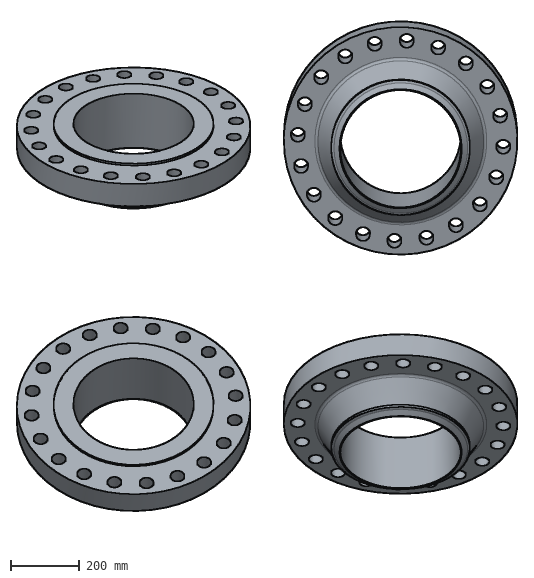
import cadquery as cq

flange_diameter = 686.0
flange_thickness = 76.0

face_diameter = 470.0
face_height = 7.0

bolt_count = 20
bolt_circle_diameter = 603.5
bolt_hole_diameter = 41.0

bore_diameter = 353.0
total_height = 184.5
neck_top_diameter = 492.5
root_radius = 10.0
neck_end_diameter = 407.5
collar_height = 8.0
shoulder_diameter = 392.0
shoulder_height = 3.0
bevel_height = 12.5
tip_diameter = 359.5

flange_top = total_height - face_height
flange_bottom = flange_top - flange_thickness
collar_bottom = bevel_height + shoulder_height
collar_top = collar_bottom + collar_height


def revolved_body():
    """Plate, raised face and weld neck as one profile turned about Z."""
    return (
        cq.Workplane("XZ")
        .moveTo(bore_diameter / 2, 0)
        .lineTo(tip_diameter / 2, 0)
        .lineTo(shoulder_diameter / 2, bevel_height)
        .lineTo(neck_end_diameter / 2, collar_bottom)
        .lineTo(neck_end_diameter / 2, collar_top)
        .lineTo(neck_top_diameter / 2, flange_bottom)
        .lineTo(flange_diameter / 2, flange_bottom)
        .lineTo(flange_diameter / 2, flange_top)
        .lineTo(face_diameter / 2, flange_top)
        .lineTo(face_diameter / 2, total_height)
        .lineTo(bore_diameter / 2, total_height)
        .close()
        .revolve(360, (0, 0, 0), (0, 1, 0))
    )


def bolt_holes():
    """Through holes evenly spaced on the bolt circle, one of them on +X."""
    return (
        cq.Workplane("XY")
        .workplane(offset=flange_bottom)
        .polarArray(bolt_circle_diameter / 2, 0, 360, bolt_count)
        .circle(bolt_hole_diameter / 2)
        .extrude(flange_thickness)
    )


def round_neck_root(body):
    """Fillet the inside corner where the neck meets the plate."""
    plate_underside = body.faces("-Z").faces(">Z")
    root_edge = cq.selectors.RadiusNthSelector(0)
    return plate_underside.edges(root_edge).fillet(root_radius)


result = round_neck_root(revolved_body()).cut(bolt_holes())